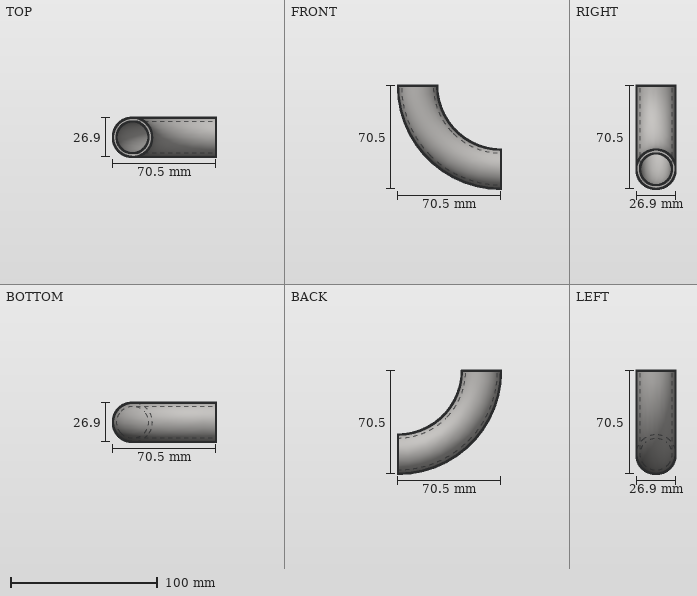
import cadquery as cq

outer_diameter = 26.9
wall_thickness = 2.6
bend_radius = 57.0
bend_angle = 90.0

inner_diameter = outer_diameter - 2 * wall_thickness


def pipe_elbow():
    """Sweep the ring from the upward-facing end at the origin to the end facing +X."""
    ring = (
        cq.Workplane("XY")
        .circle(outer_diameter / 2)
        .circle(inner_diameter / 2)
    )
    axis_start = (bend_radius, 0)
    axis_end = (bend_radius, -1)
    return ring.revolve(bend_angle, axis_start, axis_end)


result = pipe_elbow()